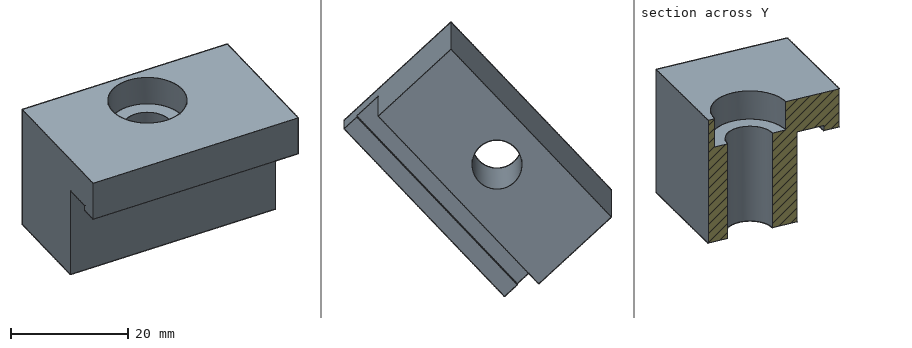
import cadquery as cq

width = 25.0
length = 40.0
height = 24.0

body_width = 17.0
jaw_thickness = 6.5
lip_width = 3.0
lip_drop = 1.0

hole_x = 8.0
hole_y = length / 2
hole_diameter = 8.5
counterbore_diameter = 13.5
counterbore_depth = 5.5


def clamp_body():
    """Extrude the XZ profile: upright body, overhanging jaw and end lip."""
    jaw_underside = height - jaw_thickness
    lip_bottom = jaw_underside - lip_drop
    lip_start = width - lip_width
    profile = [
        (0, 0),
        (body_width, 0),
        (body_width, jaw_underside),
        (lip_start, jaw_underside),
        (lip_start, lip_bottom),
        (width, lip_bottom),
        (width, height),
        (0, height),
    ]
    return cq.Workplane("XZ").polyline(profile).close().extrude(-length)


def add_screw_hole(body):
    """Cut the counterbored through hole down from the top face."""
    return (
        body.faces(">Z")
        .workplane(origin=(hole_x, hole_y, height))
        .cboreHole(hole_diameter, counterbore_diameter, counterbore_depth)
    )


result = add_screw_hole(clamp_body())